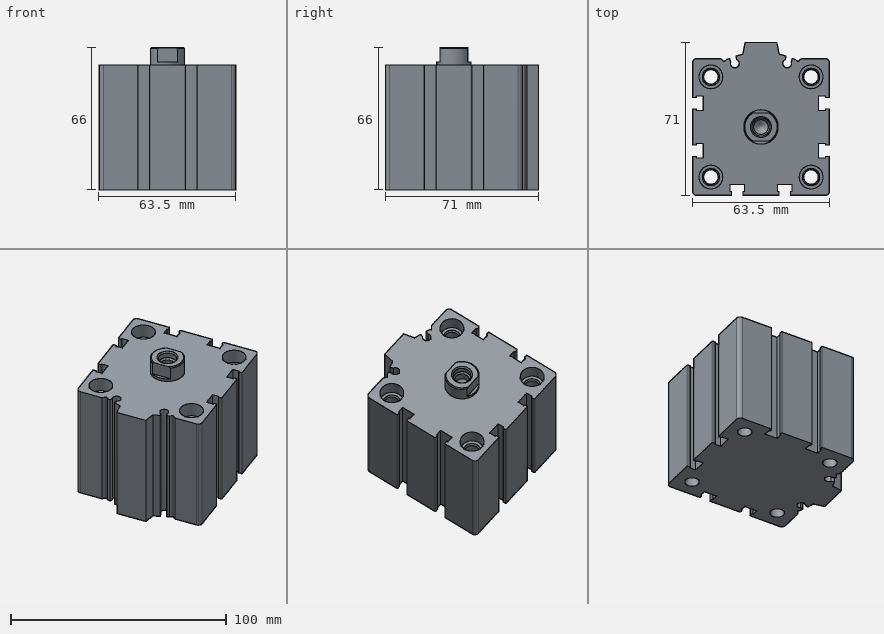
import cadquery as cq
import math

width = 63.5
half_width = width / 2
total_height = 66.0
rod_projection = 8.0
housing_height = total_height - rod_projection
corner_radius = 2.0

rail_top_y = 71.0 - half_width
rail_top_half = 7.4
rail_base_half = 8.45
rail_base_y = 33.8

groove_x = -12.15
groove_y = 29.5
groove_radius = 2.0
groove_tilt = 15.0
mouth_inner = 1.3
mouth_outer = 1.6
lip_height = 3.2
lip_fillet = 0.3

notch_outer_x = -18.7
notch_bottom = (-17.1, 30.3)
land_start = (-15.9, 31.4)
notch_fillet = 0.4

slot_offset = 11.0
slot_mouth_half = 2.6
slot_half = 3.3
slot_depth = 5.0
slot_lip = 1.85
slot_lip_fillet = 0.35

hole_offset = 23.2
hole_diameter = 6.7
hole_chamfer_diameter = 8.0
counterbore_diameter = 11.0
counterbore_depth = 6.95

rod_diameter = 16.0
rod_embedded = housing_height / 2
rod_chamfer = 0.5
flat_width = 13.0
flat_start = 1.4
socket_mouth_diameter = 9.65
socket_diameter = 8.4
socket_depth = 3.3
drill_diameter = 6.8
drill_depth = 7.8
drill_point_angle = 120.0


def groove_point(across, outward):
    """Point given along the tilted axes of the -X sensor groove."""
    tilt = math.radians(groove_tilt)
    x = groove_x + across * math.cos(tilt) - outward * math.sin(tilt)
    y = groove_y + across * math.sin(tilt) + outward * math.cos(tilt)
    return (x, y)


def mirrored(point):
    return (-point[0], point[1])


def extruded(points):
    """Full-height prism over a closed polygon."""
    return cq.Workplane("XY").polyline(points).close().extrude(housing_height)


def with_mirror_copy(body):
    return body.union(body.mirror("YZ"))


def rail():
    left_side = [
        (-rail_top_half, rail_top_y),
        (-rail_base_half, rail_base_y),
        groove_point(mouth_inner, lip_height),
        groove_point(mouth_inner, 0),
    ]
    right_side = [mirrored(point) for point in reversed(left_side)]
    body = extruded(left_side + right_side)
    lip_tip = groove_point(mouth_inner, lip_height)
    for x, y in (lip_tip, mirrored(lip_tip)):
        tip_edge = cq.NearestToPointSelector((x, y, housing_height / 2))
        body = body.edges("|Z").edges(tip_edge).fillet(lip_fillet)
    return body


def sensor_grooves():
    """Round grooves with open mouths."""
    bore = (
        cq.Workplane("XY")
        .center(groove_x, groove_y)
        .circle(groove_radius)
        .extrude(housing_height)
    )
    mouth = extruded([
        groove_point(-mouth_outer, 0),
        groove_point(mouth_inner, 0),
        groove_point(mouth_inner, lip_height),
        groove_point(-mouth_outer, lip_height),
    ])
    return with_mirror_copy(bore.union(mouth))


def v_notches():
    """V notches, each with a sloping land up to its sensor groove."""
    tilt = math.radians(groove_tilt)
    mouth_foot = groove_point(-mouth_outer, 0)
    land_end_x = mouth_foot[0] - (half_width - mouth_foot[1]) * math.tan(tilt)
    notch = extruded([
        (notch_outer_x, half_width),
        notch_bottom,
        land_start,
        (land_end_x, half_width),
    ])
    bottom_edge = cq.NearestToPointSelector((*notch_bottom, housing_height / 2))
    notch = notch.edges("|Z").edges(bottom_edge).fillet(notch_fillet)
    return with_mirror_copy(notch)


def t_slot():
    """T-slot cutter opening at the middle of the -Y side, with rounded lips."""
    outer = -half_width
    lip = outer + slot_lip
    floor = outer + slot_depth
    mouth = slot_mouth_half
    radius = slot_lip_fillet
    arc_middle = radius * (1 - math.sqrt(0.5))
    rounded = mouth + radius
    return (
        cq.Workplane("XY")
        .moveTo(-rounded, outer)
        .threePointArc((-mouth - arc_middle, outer + arc_middle), (-mouth, outer + radius))
        .lineTo(-mouth, lip - radius)
        .threePointArc((-mouth - arc_middle, lip - arc_middle), (-rounded, lip))
        .lineTo(-slot_half, lip)
        .lineTo(-slot_half, floor)
        .lineTo(slot_half, floor)
        .lineTo(slot_half, lip)
        .lineTo(rounded, lip)
        .threePointArc((mouth + arc_middle, lip - arc_middle), (mouth, lip - radius))
        .lineTo(mouth, outer + radius)
        .threePointArc((mouth + arc_middle, outer + arc_middle), (rounded, outer))
        .close()
        .extrude(housing_height)
    )


def mounting_hole():
    """Through hole with a counterbore and a chamfer at the counterbore floor."""
    hole_radius = hole_diameter / 2
    chamfer_radius = hole_chamfer_diameter / 2
    counterbore_radius = counterbore_diameter / 2
    floor = housing_height - counterbore_depth
    chamfer = chamfer_radius - hole_radius
    profile = [
        (0, 0),
        (hole_radius, 0),
        (hole_radius, floor - chamfer),
        (chamfer_radius, floor),
        (counterbore_radius, floor),
        (counterbore_radius, housing_height),
        (0, housing_height),
    ]
    return cq.Workplane("XZ").polyline(profile).close().revolve(360, (0, 0), (0, 1))


def rod_blank():
    """Plain rod cylinder, from its embedded end up to its top face."""
    return (
        cq.Workplane("XY")
        .workplane(offset=housing_height - rod_embedded)
        .circle(rod_diameter / 2)
        .extrude(rod_embedded + rod_projection)
    )


def make_housing():
    body = cq.Workplane("XY").box(width, width, housing_height, centered=(True, True, False))
    body = body.edges("|Z").fillet(corner_radius)
    body = body.union(rail()).cut(sensor_grooves()).cut(v_notches())
    for side_angle in (-90, 0, 90):
        for offset in (-slot_offset, slot_offset):
            slot = t_slot().translate((offset, 0, 0))
            body = body.cut(slot.rotate((0, 0, 0), (0, 0, 1), side_angle))
    for x in (-hole_offset, hole_offset):
        for y in (-hole_offset, hole_offset):
            body = body.cut(mounting_hole().translate((x, y, 0)))
    return body.cut(rod_blank())


def rod_socket():
    """Stepped blind hole in the rod end, with tapered steps and a drill point."""
    mouth_radius = socket_mouth_diameter / 2
    socket_radius = socket_diameter / 2
    drill_radius = drill_diameter / 2
    mouth_chamfer = mouth_radius - socket_radius
    taper_start = total_height - socket_depth
    taper_height = socket_radius - drill_radius
    drill_end = total_height - drill_depth
    point_height = drill_radius / math.tan(math.radians(drill_point_angle / 2))
    profile = [
        (0, total_height),
        (mouth_radius, total_height),
        (socket_radius, total_height - mouth_chamfer),
        (socket_radius, taper_start),
        (drill_radius, taper_start - taper_height),
        (drill_radius, drill_end),
        (0, drill_end - point_height),
    ]
    return cq.Workplane("XZ").polyline(profile).close().revolve(360, (0, 0), (0, 1))


def make_rod():
    flat_height = rod_projection - flat_start
    end_base = cq.Workplane("XY").workplane(offset=housing_height + flat_start)
    kept_end = end_base.rect(rod_diameter, flat_width).extrude(flat_height)
    around_end = end_base.circle(rod_diameter).extrude(flat_height)
    clearance = around_end.cut(kept_end)
    body = rod_blank().faces(">Z").edges().chamfer(rod_chamfer)
    return body.cut(clearance).cut(rod_socket())


housing = make_housing()
rod = make_rod()

result = cq.Compound.makeCompound([housing.val(), rod.val()])